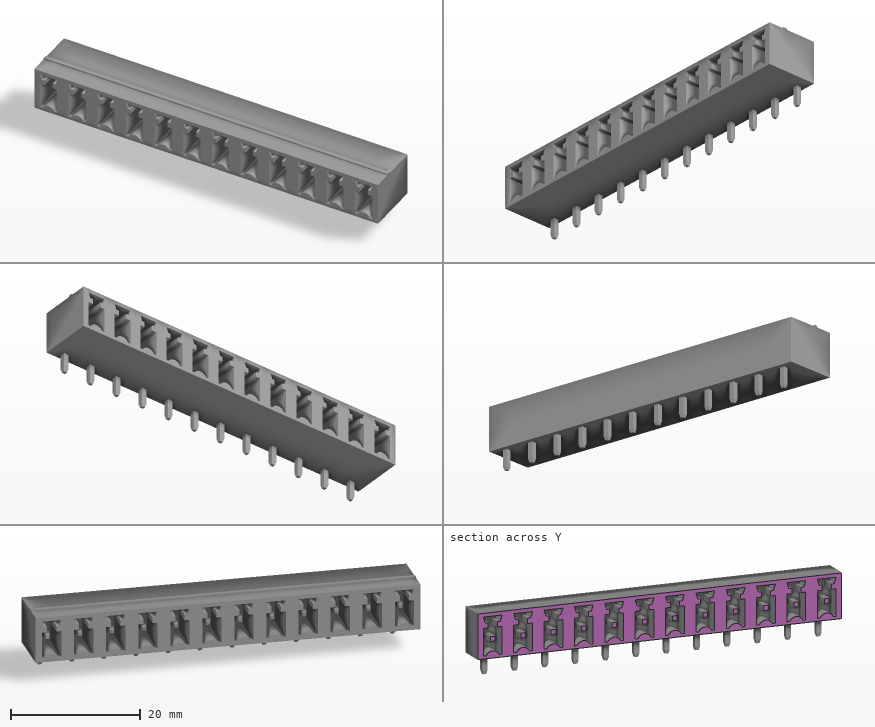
import cadquery as cq

contact_count = 12
length = 60.95
depth = 9.2
total_height = 11.0
pitch = length / contact_count

ridge_height = 0.25
ridge_width = 0.7
ridge_front_gap = 2.9

pin_size = 0.85
pin_drop = 3.35
pin_tip_length = 0.6
pin_tip_size = 0.55
pin_leg_from_back = 1.2
pin_axis_height = 3.1
pin_tip_setback = 2.45

housing_height = total_height - ridge_height - pin_drop

socket_depth = 7.0
chamber_width = 3.05
chamber_floor = 0.55
chamber_top = 4.9
neck_width = 1.45
neck_top = 5.8
dovetail_base_width = 2.45
dovetail_top_width = 3.05
dovetail_top = 6.7

hump_width = 2.25
hump_height = 0.7


def front_plane(x):
    """Sketch plane on the front face, at the foot of the contact at x; its normal points to the front."""
    return cq.Workplane("XZ", origin=(x, 0, 0))


def make_housing():
    bar = cq.Workplane("XY").box(length, depth, housing_height, centered=False)
    ridge = (
        cq.Workplane("XY", origin=(0, ridge_front_gap, housing_height))
        .box(length, ridge_width, ridge_height, centered=False)
    )
    return bar.union(ridge)


def make_socket(x):
    right_side = [
        (chamber_width / 2, chamber_floor),
        (chamber_width / 2, chamber_top),
        (neck_width / 2, chamber_top),
        (neck_width / 2, neck_top),
        (dovetail_base_width / 2, neck_top),
        (dovetail_top_width / 2, dovetail_top),
    ]
    left_side = [(-across, up) for across, up in reversed(right_side)]
    outline = front_plane(x).polyline(right_side + left_side).close().extrude(-socket_depth)
    hump = (
        front_plane(x)
        .moveTo(-hump_width / 2, chamber_floor)
        .threePointArc((0, chamber_floor + hump_height), (hump_width / 2, chamber_floor))
        .close()
        .extrude(-socket_depth)
    )
    return outline.cut(hump)


def make_bar_with_tip(start_plane, bar_length):
    """Square bar along the plane normal, ending in a tapered tip; bar_length includes the tip."""
    straight_length = bar_length - pin_tip_length
    shank = cq.Workplane(start_plane).rect(pin_size, pin_size).extrude(straight_length)
    tip = (
        shank.faces(cq.DirectionMinMaxSelector(start_plane.zDir, True))
        .workplane()
        .rect(pin_size, pin_size)
        .workplane(offset=pin_tip_length)
        .rect(pin_tip_size, pin_tip_size)
        .loft(combine=False)
    )
    return shank.union(tip)


def make_pin(x):
    """Leg down through the housing floor and contact blade forward into the socket."""
    leg_y = depth - pin_leg_from_back
    bend_overlap = pin_size / 2
    leg_start = cq.Plane((x, leg_y, pin_axis_height + bend_overlap), xDir=(1, 0, 0), normal=(0, 0, -1))
    blade_start = cq.Plane((x, leg_y + bend_overlap, pin_axis_height), xDir=(1, 0, 0), normal=(0, -1, 0))
    leg = make_bar_with_tip(leg_start, pin_axis_height + bend_overlap + pin_drop)
    blade = make_bar_with_tip(blade_start, leg_y + bend_overlap - pin_tip_setback)
    return leg.union(blade)


result = make_housing()
for index in range(contact_count):
    contact_x = (index + 0.5) * pitch
    result = result.cut(make_socket(contact_x)).union(make_pin(contact_x))